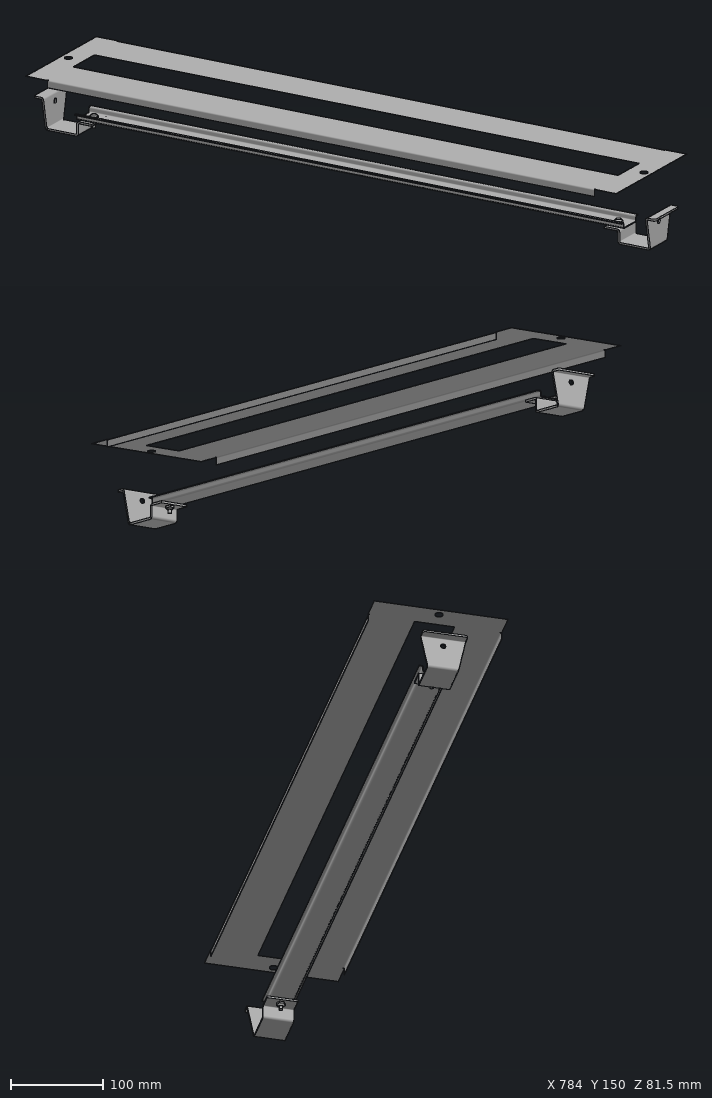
import cadquery as cq
import math

OVERALL_LENGTH = 784.0
OVERALL_HEIGHT = 81.5
ENDS = (-1, 1)

PLATE_LENGTH = 745.0
PLATE_WIDTH = 150.0
PLATE_THICKNESS = 0.5
FOLD_LENGTH = 690.0
FOLD_HEIGHT = 9.0
FOLD_INSIDE_RADIUS = 1.3
WINDOW_LENGTH = 687.0
WINDOW_WIDTH = 45.0
PLATE_HOLE_DIAMETER = 9.0
PLATE_HOLE_INSET = 9.5

RAIL_LENGTH = 690.0
RAIL_WIDTH = 35.0
RAIL_HEIGHT = 7.5
RAIL_CHANNEL_WIDTH = 27.5
RAIL_THICKNESS = 1.0
RAIL_BEND_RADIUS = 1.2
RAIL_BOTTOM = 17.0

BRACKET_THICKNESS = 2.0
BRACKET_BEND_RADIUS = 1.0
BRACKET_HEIGHT = 40.0
BRACKET_WIDTH = 34.5
LIP_WIDTH = 50.0
LIP_LENGTH = 12.5
LIP_CORNER_RADIUS = 3.0
SEAT_START = 323.0
RISER_FACE = 343.0
WALL_HOLE_DIAMETER = 5.5
WALL_HOLE_DROP = 11.0

SCREW_X = 331.0
SCREW_DIAMETER = 4.0
SCREW_TIP = 7.0
HEX_ACROSS_FLATS = 9.0
HEAD_HEIGHT = 4.0
HEX_CHAMFER = 2.0
NUT_HEIGHT = 4.0

WALL_INNER_FACE = OVERALL_LENGTH / 2 - LIP_LENGTH
WALL_OUTER_FACE = WALL_INNER_FACE + BRACKET_THICKNESS
RISER_INNER_FACE = RISER_FACE - BRACKET_THICKNESS
LIP_UNDERSIDE = BRACKET_HEIGHT - BRACKET_THICKNESS
SEAT_UNDERSIDE = RAIL_BOTTOM - BRACKET_THICKNESS
WEB_TOP = RAIL_BOTTOM + RAIL_THICKNESS
HEX_ACROSS_CORNERS = HEX_ACROSS_FLATS / math.cos(math.pi / 6)


def bent_sheet(plane, outline, length, bends, inside_radius, thickness):
    """Extrude a sheet outline symmetrically and round each bend, given as (inside corner, outside corner)."""
    sheet = cq.Workplane(plane).polyline(outline).close().extrude(length / 2, both=True)
    frame = cq.Plane.named(plane)
    for inside, outside in bends:
        for corner, radius in ((inside, inside_radius), (outside, inside_radius + thickness)):
            nearest = cq.selectors.NearestToPointSelector(frame.toWorldCoords(corner).toTuple())
            sheet = sheet.edges(nearest).fillet(radius)
    return sheet


def make_cover_plate():
    """Thin plate with folded long edges, a window and a hole near each end."""
    underside = OVERALL_HEIGHT - PLATE_THICKNESS
    fold_bottom = OVERALL_HEIGHT - FOLD_HEIGHT
    outer = PLATE_WIDTH / 2
    inner = outer - PLATE_THICKNESS
    half_outline = [
        (inner, underside),
        (inner, fold_bottom),
        (outer, fold_bottom),
        (outer, OVERALL_HEIGHT),
    ]
    mirrored = [(-y, z) for y, z in reversed(half_outline)]
    bends = [((side * inner, underside), (side * outer, OVERALL_HEIGHT)) for side in ENDS]
    folded_sheet = bent_sheet(
        "YZ", half_outline + mirrored, FOLD_LENGTH, bends, FOLD_INSIDE_RADIUS, PLATE_THICKNESS
    )

    end_length = (PLATE_LENGTH - FOLD_LENGTH) / 2
    flat_ends = (
        cq.Workplane("XY", origin=(0, 0, underside))
        .pushPoints([(end * (FOLD_LENGTH + end_length) / 2, 0) for end in ENDS])
        .rect(end_length, PLATE_WIDTH)
        .extrude(PLATE_THICKNESS)
    )
    window = (
        cq.Workplane("XY", origin=(0, 0, underside))
        .rect(WINDOW_LENGTH, WINDOW_WIDTH)
        .extrude(PLATE_THICKNESS)
    )
    hole_x = PLATE_LENGTH / 2 - PLATE_HOLE_INSET
    holes = (
        cq.Workplane("XY", origin=(0, 0, underside))
        .pushPoints([(end * hole_x, 0) for end in ENDS])
        .circle(PLATE_HOLE_DIAMETER / 2)
        .extrude(PLATE_THICKNESS)
    )
    return folded_sheet.union(flat_ends).cut(window).cut(holes)


def make_rail():
    """Hat-section rail with a screw hole through the web near each end."""
    rail_top = RAIL_BOTTOM + RAIL_HEIGHT
    lip_bottom = rail_top - RAIL_THICKNESS
    edge = RAIL_WIDTH / 2
    outer = RAIL_CHANNEL_WIDTH / 2
    inner = outer - RAIL_THICKNESS
    half_outline = [
        (outer, RAIL_BOTTOM),
        (outer, lip_bottom),
        (edge, lip_bottom),
        (edge, rail_top),
        (inner, rail_top),
        (inner, WEB_TOP),
    ]
    mirrored = [(-y, z) for y, z in reversed(half_outline)]
    bends = []
    for side in ENDS:
        bends.append(((side * outer, lip_bottom), (side * inner, rail_top)))
        bends.append(((side * inner, WEB_TOP), (side * outer, RAIL_BOTTOM)))
    rail = bent_sheet("YZ", half_outline + mirrored, RAIL_LENGTH, bends, RAIL_BEND_RADIUS, RAIL_THICKNESS)
    screw_holes = (
        cq.Workplane("XY", origin=(0, 0, RAIL_BOTTOM))
        .pushPoints([(end * SCREW_X, 0) for end in ENDS])
        .circle(SCREW_DIAMETER / 2)
        .extrude(RAIL_HEIGHT)
    )
    return rail.cut(screw_holes)


def make_bracket(end):
    """Bracket for the +X end, mirrored when end is -1."""
    lip_end = OVERALL_LENGTH / 2
    lip_bend = ((WALL_OUTER_FACE, LIP_UNDERSIDE), (WALL_INNER_FACE, BRACKET_HEIGHT))
    wall_bend = ((WALL_INNER_FACE, BRACKET_THICKNESS), (WALL_OUTER_FACE, 0))
    foot_bend = ((RISER_FACE, BRACKET_THICKNESS), (RISER_INNER_FACE, 0))
    seat_bend = ((RISER_INNER_FACE, SEAT_UNDERSIDE), (RISER_FACE, RAIL_BOTTOM))
    outline = [
        (lip_end, LIP_UNDERSIDE),
        lip_bend[0],
        wall_bend[1],
        foot_bend[1],
        seat_bend[0],
        (SEAT_START, SEAT_UNDERSIDE),
        (SEAT_START, RAIL_BOTTOM),
        seat_bend[1],
        foot_bend[0],
        wall_bend[0],
        lip_bend[1],
        (lip_end, BRACKET_HEIGHT),
    ]
    bends = [lip_bend, wall_bend, foot_bend, seat_bend]
    sheet = bent_sheet("XZ", outline, LIP_WIDTH, bends, BRACKET_BEND_RADIUS, BRACKET_THICKNESS)

    narrow_part = (
        cq.Workplane("XY", origin=(SEAT_START, 0, 0))
        .box(WALL_INNER_FACE - SEAT_START, BRACKET_WIDTH, BRACKET_HEIGHT, centered=(False, True, False))
    )
    wide_part = (
        cq.Workplane("YZ", origin=(WALL_INNER_FACE, 0, 0))
        .polyline([
            (-BRACKET_WIDTH / 2, 0),
            (BRACKET_WIDTH / 2, 0),
            (LIP_WIDTH / 2, LIP_UNDERSIDE),
            (LIP_WIDTH / 2, BRACKET_HEIGHT),
            (-LIP_WIDTH / 2, BRACKET_HEIGHT),
            (-LIP_WIDTH / 2, LIP_UNDERSIDE),
        ])
        .close()
        .extrude(LIP_LENGTH)
        .edges("|Z and >X")
        .fillet(LIP_CORNER_RADIUS)
    )
    bracket = sheet.intersect(narrow_part.union(wide_part))

    wall_hole = (
        cq.Workplane("YZ", origin=(WALL_INNER_FACE, 0, BRACKET_HEIGHT - WALL_HOLE_DROP))
        .circle(WALL_HOLE_DIAMETER / 2)
        .extrude(BRACKET_THICKNESS)
    )
    screw_hole = (
        cq.Workplane("XY", origin=(SCREW_X, 0, SEAT_UNDERSIDE))
        .circle(SCREW_DIAMETER / 2)
        .extrude(BRACKET_THICKNESS)
    )
    bracket = bracket.cut(wall_hole).cut(screw_hole)
    return bracket if end > 0 else bracket.mirror("YZ")


def make_shank(x):
    """Screw shank from the top of the rail's web down to the tip."""
    return (
        cq.Workplane("XY", origin=(x, 0, SCREW_TIP))
        .circle(SCREW_DIAMETER / 2)
        .extrude(WEB_TOP - SCREW_TIP)
    )


def make_hexagon(x, base, direction, height):
    """Hexagon with two corners pointing along Y, standing on base and chamfered round its free end."""
    prism = (
        cq.Workplane("XY", origin=(x, 0, base))
        .transformed(rotate=(0, 0, 90))
        .polygon(6, HEX_ACROSS_CORNERS)
        .extrude(direction * height)
    )
    chamfered_round = (
        cq.Workplane("XY", origin=(x, 0, base))
        .circle(HEX_ACROSS_CORNERS / 2)
        .extrude(direction * height)
        .faces(">Z" if direction > 0 else "<Z")
        .chamfer(HEX_CHAMFER)
    )
    return prism.intersect(chamfered_round)


def make_screw(end):
    """Screw with its head resting on the rail's web."""
    x = end * SCREW_X
    return make_hexagon(x, WEB_TOP, 1, HEAD_HEIGHT).union(make_shank(x))


def make_nut(end):
    """Nut pressed against the bracket's seat."""
    x = end * SCREW_X
    return make_hexagon(x, SEAT_UNDERSIDE, -1, NUT_HEIGHT).cut(make_shank(x))


cover_plate = make_cover_plate()
rail = make_rail()
brackets = [make_bracket(end) for end in ENDS]
screws = [make_screw(end) for end in ENDS]
nuts = [make_nut(end) for end in ENDS]

result = cq.Compound.makeCompound([
    body.val() for body in [cover_plate, rail, *brackets, *screws, *nuts]
])